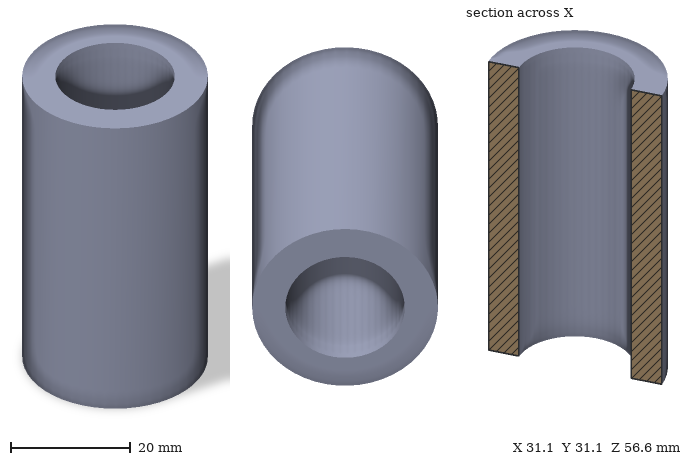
import cadquery as cq

length = 56.6
outer_diameter = 31.1
bore_diameter = 20.0

result = (
    cq.Workplane("XY")
    .circle(outer_diameter / 2)
    .circle(bore_diameter / 2)
    .extrude(length)
)